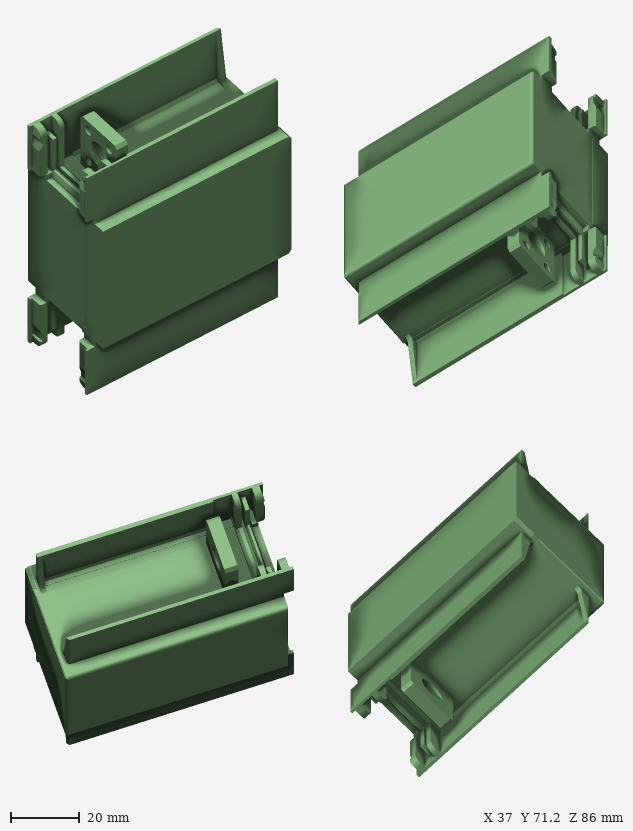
import cadquery as cq
import math

WIDTH = 37.0
COVER_FACE_X = -18.7
HEIGHT = 86.0
BOX_HEIGHT = 46.4
BOX_DEPTH = 68.3
EDGE_ROUND = 1.0
COVER_BACK_BEVEL = 0.35
BASE_BACK_BEVEL = 1.0

SEAM_X = 8.95
LIP_WIDTH = 2.1
LIP_DROP = 0.2
TOE_HEIGHT = 2.1
TOE_DEPTH = 1.7
BACK_TAB_DEPTH = 0.7
STRIP_TOP_GAP = 0.35
STRIP_DEPTH = 1.7
STRIP_RECESS = 0.1

WALL_OUTER_X = 14.3
WALL_FRONT_Y = -2.9
WALL_BACK_Y = 66.4
WALL_STEP_Y = 12.5
COVER_WALL = 1.0
BASE_WALL_REAR = 1.3
BASE_WALL_FRONT = 0.8
COVER_FOOT = 0.95
BASE_FOOT = 0.7
WALL_EDGE_BEVEL = 0.7

GUSSET_DEPTH = 1.55
GUSSET_FOOT_X = 9.0
GUSSET_NECK_X = 10.7
GUSSET_NECK_RISE = 2.6

RIDGE_RISE = 2.2
BLOCK_INNER_X = 8.95
BLOCK_DEPTH = 2.0
RIDGE_BACK_Y = 7.0
RIDGE_CREST_Y = 6.0
GROOVE_BACK_Y = 5.0
GROOVE_BOTTOM_FRONT_Y = 3.95
GROOVE_FRONT_Y = 3.35
GROOVE_DEPTH = 1.7
GROOVE_STEP = 0.4
RIDGE_FRONT_CREST_Y = 2.7
RIDGE_FRONT_LOW = 0.3

CLIP_INNER_X = 9.2
CLIP_CORNER = 2.75
CLIP_EDGE_BEVEL = 0.4
FRONT_CLIP_BACK_Y = 0.5
FRONT_CLIP_FRONT_Y = -2.15
NOTCH_BOTTOM_Z = 35.35
NOTCH_FLOOR_Z = 38.0
NOTCH_TOP_Z = 40.0
NOTCH_DEPTH = 0.9
CLIP_TIP_TAPER = 0.4
REAR_CLIP_BACK_Y = 6.7
REAR_CLIP_FRONT_Y = 5.0
RIB_INNER_X = 9.3
RIB_BACK_Y = 3.9
RIB_FRONT_Y = 2.6
RIB_TOP_Z = 37.7

PLATE_WIDTH = 17.5
PLATE_TOP_Z = 42.65
PLATE_CORNER = 1.0
PLATE_FRONT_Y = 12.1
FRONT_PLATE_DEPTH = 2.1
REAR_PLATE_DEPTH = 2.0
BORE_Z = 33.1
BORE_DIAMETER = 8.25
TOP_BORE_DIAMETER = 8.9
PIN_HOLE_DIAMETER = 3.1
PIN_HOLE_PITCH_X = 10.0
PIN_HOLE_PITCH_Z = 12.0

BASE_FACE_X = COVER_FACE_X + WIDTH
HALF_HEIGHT = HEIGHT / 2
BOX_TOP_Z = BOX_HEIGHT / 2
RIDGE_TOP_Z = BOX_TOP_Z + RIDGE_RISE
LIP_END_X = SEAM_X + LIP_WIDTH
STRIP_TOP_Z = BOX_TOP_Z - STRIP_TOP_GAP
STRIP_BOTTOM_Z = -BOX_TOP_Z + TOE_HEIGHT
BACK_TAB_Y = BOX_DEPTH - BACK_TAB_DEPTH


def block(x_range, y_range, z_range):
    """Box between two limits on each axis."""
    size = [max(r) - min(r) for r in (x_range, y_range, z_range)]
    corner = cq.Vector(min(x_range), min(y_range), min(z_range))
    return cq.Workplane(cq.Solid.makeBox(*size, pnt=corner))


def extrude_along_x(points, x_range):
    """Prism with a (y, z) outline."""
    sketch = cq.Workplane("YZ", origin=(min(x_range), 0, 0)).polyline(points).close()
    return sketch.extrude(max(x_range) - min(x_range))


def on_both_ends(upper):
    """Upper features together with their mirror image below."""
    return [upper, upper.mirror("XY")]


def join_all(body, features):
    """Body with every feature joined on both its upper and lower end."""
    for feature in features:
        for copy in on_both_ends(feature):
            body = body.union(copy)
    return body


def wall_foot(side, thickness, size):
    """Bevel along the foot of a wall, behind the wall step."""
    inner = side * (WALL_OUTER_X - thickness)
    outline = [(inner, BOX_TOP_Z), (inner, BOX_TOP_Z + size), (inner - side * size, BOX_TOP_Z)]
    sketch = cq.Workplane("XZ", origin=(0, WALL_STEP_Y, 0)).polyline(outline).close()
    return sketch.extrude(WALL_STEP_Y - WALL_BACK_Y)


def gusset(side, thickness):
    """Tapered web with a curved foot that closes the back of a wall."""
    wall = side * (WALL_OUTER_X - thickness)
    neck = side * GUSSET_NECK_X
    foot = side * GUSSET_FOOT_X
    neck_z = BOX_TOP_Z + GUSSET_NECK_RISE
    sag = math.sin(math.radians(45))
    arc_middle = (foot + sag * (neck - foot), neck_z - sag * GUSSET_NECK_RISE)
    sketch = (
        cq.Workplane("XZ", origin=(0, WALL_BACK_Y, 0))
        .moveTo(wall, BOX_TOP_Z)
        .lineTo(wall, HALF_HEIGHT)
        .lineTo(neck, neck_z)
        .threePointArc(arc_middle, (foot, BOX_TOP_Z))
        .close()
    )
    return sketch.extrude(GUSSET_DEPTH)


def ridge(x_range):
    """Cross ridge behind the front face, with a groove in its crest."""
    outline = [
        (RIDGE_BACK_Y, BOX_TOP_Z),
        (RIDGE_BACK_Y, RIDGE_TOP_Z - RIDGE_BACK_Y + RIDGE_CREST_Y),
        (RIDGE_CREST_Y, RIDGE_TOP_Z),
        (GROOVE_BACK_Y, RIDGE_TOP_Z),
        (GROOVE_BACK_Y, RIDGE_TOP_Z - GROOVE_DEPTH),
        (GROOVE_BOTTOM_FRONT_Y, RIDGE_TOP_Z - GROOVE_DEPTH),
        (GROOVE_FRONT_Y, RIDGE_TOP_Z - GROOVE_STEP),
        (GROOVE_FRONT_Y, RIDGE_TOP_Z),
        (RIDGE_FRONT_CREST_Y, RIDGE_TOP_Z),
        (BLOCK_DEPTH, BOX_TOP_Z + RIDGE_FRONT_LOW),
        (BLOCK_DEPTH, BOX_TOP_Z),
    ]
    return extrude_along_x(outline, x_range)


def round_clip_corner(clip, side):
    """Round the free upper corner of a clip."""
    return clip.edges("|Y").edges(">Z").edges("<X" if side > 0 else ">X").fillet(CLIP_CORNER)


def front_clip(side):
    """Clip at the front with a snap notch in its front face."""
    x_range = (side * CLIP_INNER_X, side * WALL_OUTER_X)
    face = FRONT_CLIP_FRONT_Y
    clip = block(x_range, (face, FRONT_CLIP_BACK_Y), (RIDGE_TOP_Z, HALF_HEIGHT))
    clip = round_clip_corner(clip, side)
    notch = extrude_along_x(
        [
            (face, NOTCH_BOTTOM_Z),
            (face + NOTCH_DEPTH, NOTCH_FLOOR_Z),
            (face + NOTCH_DEPTH, NOTCH_TOP_Z),
            (face, NOTCH_TOP_Z),
        ],
        x_range,
    )
    taper = extrude_along_x(
        [(face, NOTCH_TOP_Z), (face + CLIP_TIP_TAPER, HALF_HEIGHT), (face, HALF_HEIGHT)], x_range
    )
    clip = clip.cut(notch).cut(taper)
    bevel = (
        cq.Workplane("XY", origin=(side * CLIP_INNER_X, face, 0))
        .polyline([(0, 0), (side * CLIP_EDGE_BEVEL, 0), (0, CLIP_EDGE_BEVEL)])
        .close()
        .extrude(HALF_HEIGHT)
    )
    return clip.cut(bevel)


def rear_clip(side):
    """Plain clip behind the front one."""
    x_range = (side * CLIP_INNER_X, side * WALL_OUTER_X)
    clip = block(x_range, (REAR_CLIP_FRONT_Y, REAR_CLIP_BACK_Y), (BOX_TOP_Z, HALF_HEIGHT))
    return round_clip_corner(clip, side)


def middle_rib(side):
    """Lower rib between the two clips."""
    x_range = (side * RIB_INNER_X, side * WALL_OUTER_X)
    return block(x_range, (RIB_FRONT_Y, RIB_BACK_Y), (BOX_TOP_Z, RIB_TOP_Z))


def front_block(side, inner_x):
    """Raised block that carries the front clip."""
    return block((side * inner_x, side * WALL_OUTER_X), (0, BLOCK_DEPTH), (BOX_TOP_Z, RIDGE_TOP_Z))


def wall_plate(side, thickness, y_range):
    """Straight length of wall; its part in front of the box starts at the ridge height."""
    x_range = (side * (WALL_OUTER_X - thickness), side * WALL_OUTER_X)
    plate = block(x_range, y_range, (BOX_TOP_Z, HALF_HEIGHT))
    return plate.cut(block(x_range, (WALL_FRONT_Y, 0), (BOX_TOP_Z, RIDGE_TOP_Z)))


def end_features(side, thickness):
    """Clips, rib and gusset on the upper end."""
    return [gusset(side, thickness), front_clip(side), rear_clip(side), middle_rib(side)]


def make_cover():
    body = block((COVER_FACE_X, SEAM_X), (0, BOX_DEPTH), (-BOX_TOP_Z, BOX_TOP_Z))
    body = body.faces("<X").edges().fillet(EDGE_ROUND)
    bevel = extrude_along_x(
        [
            (BOX_DEPTH - COVER_BACK_BEVEL, BOX_TOP_Z),
            (BOX_DEPTH, BOX_TOP_Z),
            (BOX_DEPTH, BOX_TOP_Z - COVER_BACK_BEVEL),
        ],
        (COVER_FACE_X, SEAM_X),
    )
    for copy in on_both_ends(bevel):
        body = body.cut(copy)
    lip_x = (SEAM_X, LIP_END_X)
    body = body.union(block(lip_x, (0, TOE_DEPTH), (-BOX_TOP_Z, STRIP_BOTTOM_Z)))
    body = body.union(block(lip_x, (BACK_TAB_Y, BOX_DEPTH), (-BOX_TOP_Z, BOX_TOP_Z)))
    wall = wall_plate(-1, COVER_WALL, (WALL_FRONT_Y, WALL_BACK_Y))
    wall = wall.edges("|Z and >Y and <X").chamfer(WALL_EDGE_BEVEL)
    features = end_features(-1, COVER_WALL) + [
        wall,
        wall_foot(-1, COVER_WALL, COVER_FOOT),
        front_block(-1, BLOCK_INNER_X),
        ridge((-WALL_OUTER_X, SEAM_X)),
    ]
    return join_all(body, features)


def make_base():
    body = block((LIP_END_X, BASE_FACE_X), (0, BOX_DEPTH), (-BOX_TOP_Z, BOX_TOP_Z))
    body = body.edges(">Y and |X").chamfer(BASE_BACK_BEVEL)
    lip_top_z = BOX_TOP_Z - LIP_DROP
    lip_x = (SEAM_X, LIP_END_X)
    lip = block(lip_x, (0, BACK_TAB_Y), (-lip_top_z, lip_top_z))
    lip = lip.cut(block(lip_x, (0, STRIP_DEPTH), (STRIP_BOTTOM_Z, STRIP_TOP_Z)))
    lip = lip.cut(block(lip_x, (0, TOE_DEPTH), (-BOX_TOP_Z, STRIP_BOTTOM_Z)))
    body = body.union(lip)
    features = end_features(1, BASE_WALL_REAR) + [
        wall_plate(1, BASE_WALL_FRONT, (WALL_FRONT_Y, WALL_STEP_Y)),
        wall_plate(1, BASE_WALL_REAR, (WALL_STEP_Y, WALL_BACK_Y)),
        wall_foot(1, BASE_WALL_REAR, BASE_FOOT),
        front_block(1, SEAM_X),
        ridge((SEAM_X, WALL_OUTER_X)),
    ]
    return join_all(body, features)


def make_joint_strip():
    return block((SEAM_X, LIP_END_X), (STRIP_RECESS, STRIP_DEPTH), (STRIP_BOTTOM_Z, STRIP_TOP_Z))


def make_plate(front_y, depth, bore_diameter):
    """Upper plate standing on the box, with bevelled upper corners and a bore."""
    half = PLATE_WIDTH / 2
    plate = block((-half, half), (front_y, front_y + depth), (BOX_TOP_Z, PLATE_TOP_Z))
    plate = plate.edges("|Y and >Z").chamfer(PLATE_CORNER)
    bore = cq.Workplane("XZ", origin=(0, front_y, BORE_Z)).circle(bore_diameter / 2).extrude(-depth)
    return plate.cut(bore)


def make_front_plate(end, bore_diameter):
    """Front plate with four pin holes; end is 1 above the box and -1 below it."""
    plate = make_plate(PLATE_FRONT_Y, FRONT_PLATE_DEPTH, bore_diameter)
    holes = (
        cq.Workplane("XZ", origin=(0, PLATE_FRONT_Y, BORE_Z))
        .rarray(PIN_HOLE_PITCH_X, PIN_HOLE_PITCH_Z, 2, 2)
        .circle(PIN_HOLE_DIAMETER / 2)
        .extrude(-FRONT_PLATE_DEPTH)
    )
    plate = plate.cut(holes)
    return plate if end > 0 else plate.mirror("XY")


def make_rear_plate(end):
    """Plain plate behind a front plate."""
    plate = make_plate(PLATE_FRONT_Y + FRONT_PLATE_DEPTH, REAR_PLATE_DEPTH, BORE_DIAMETER)
    return plate if end > 0 else plate.mirror("XY")


cover = make_cover()
base = make_base()
joint_strip = make_joint_strip()
plates = []
for end, front_bore in ((1, TOP_BORE_DIAMETER), (-1, BORE_DIAMETER)):
    plates.append(make_front_plate(end, front_bore).val())
    plates.append(make_rear_plate(end).val())

result = cq.Compound.makeCompound([cover.val(), base.val(), joint_strip.val(), *plates])